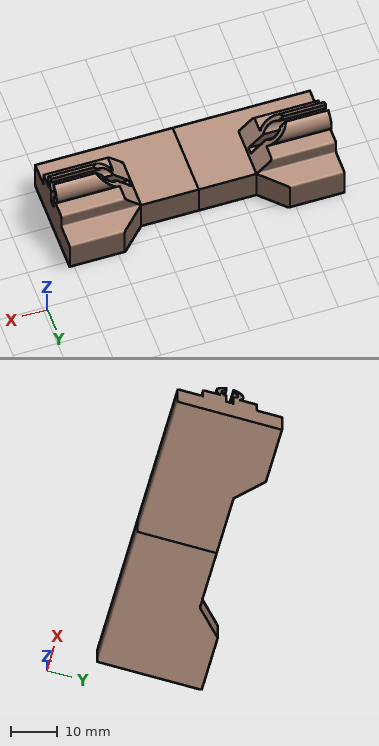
import cadquery as cq
import math

total_length = 62.0
base_width = 23.3
base_height = 7.5
half_length = total_length / 2
edge_radius = 0.5

step_width = 12.0
step_top = 11.05
step_root_radius = 0.4

clip_axis_height = 13.0
clip_outer_radius = 3.0
clip_bore_radius = 1.8
slot_width = 1.55
slot_floor = 8.0

ramp_foot = 18.0
cut_top = clip_axis_height + 2 * clip_outer_radius

half_width = base_width / 2
step_side = step_width / 2
ramp_foot_x = ramp_foot - half_length


def extrude_along_x(profile):
    """Extrude a YZ profile from the outer end to the joint."""
    return profile.extrude(half_length)


def profile_plane():
    return cq.Workplane("YZ", origin=(-half_length, 0, 0))


def make_base():
    block = cq.Workplane("XY").box(
        half_length, base_width, base_height, centered=(False, True, False)
    )
    return block.edges("|X").fillet(edge_radius).translate((-half_length, 0, 0))


def make_step():
    block = cq.Workplane("XY").box(
        half_length, step_width, step_top, centered=(False, True, False)
    )
    return block.edges("|X and >Z").fillet(edge_radius).translate((-half_length, 0, 0))


def make_step_root():
    """Concave round between the base top and the +Y side of the step."""
    arc_offset = step_root_radius * (1 - math.sqrt(0.5))
    outline = (
        profile_plane()
        .moveTo(step_side, base_height)
        .lineTo(step_side + step_root_radius, base_height)
        .threePointArc(
            (step_side + arc_offset, base_height + arc_offset),
            (step_side, base_height + step_root_radius),
        )
        .close()
    )
    return extrude_along_x(outline)


def make_clip_tube():
    outline = profile_plane().center(0, clip_axis_height).circle(clip_outer_radius)
    return extrude_along_x(outline)


def make_clip_opening():
    """Bore and vertical slot that leave two springy jaws."""
    bore = extrude_along_x(profile_plane().center(0, clip_axis_height).circle(clip_bore_radius))
    slot = cq.Workplane("XY").box(
        half_length, slot_width, cut_top - slot_floor, centered=(False, True, False)
    )
    return bore.union(slot.translate((-half_length, 0, slot_floor)))


def make_ramp_cut():
    """Space above the ramp and above the low part of the base."""
    outline = [
        (ramp_foot_x, base_height),
        (0, base_height),
        (0, cut_top),
        (ramp_foot_x - (cut_top - base_height), cut_top),
    ]
    return cq.Workplane("XZ").polyline(outline).close().extrude(half_width, both=True)


def make_side_notch():
    """Full-height notch with a 45 degree end, level with the step side."""
    outline = [
        (ramp_foot_x, step_side),
        (0, step_side),
        (0, half_width),
        (ramp_foot_x - (half_width - step_side), half_width),
    ]
    return cq.Workplane("XY").polyline(outline).close().extrude(cut_top)


def make_left_holder():
    holder = make_base().union(make_step()).union(make_step_root()).union(make_clip_tube())
    return holder.cut(make_clip_opening()).cut(make_ramp_cut()).cut(make_side_notch())


left_holder = make_left_holder()
right_holder = left_holder.mirror("YZ")

result = cq.Compound.makeCompound([left_holder.val(), right_holder.val()])